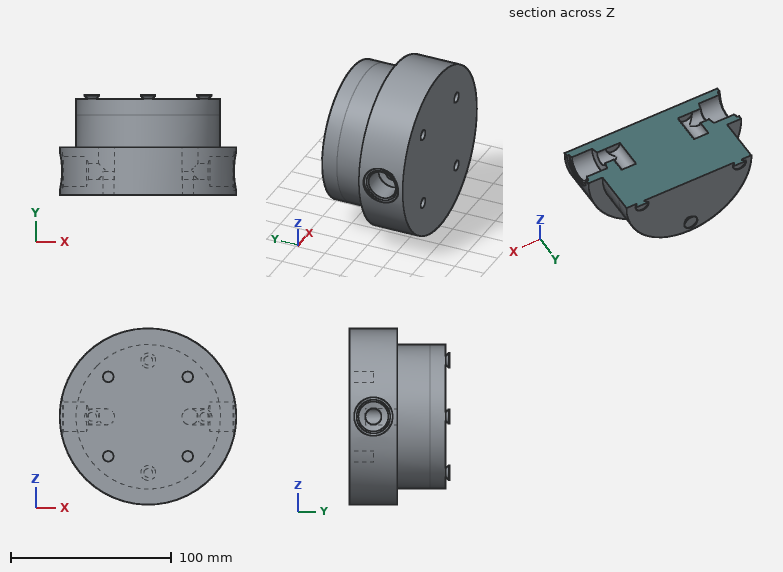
import cadquery as cq
import math

BASE_DIAMETER = 110.0
BASE_THICKNESS = 30.0

BODY_DIAMETER = 90.0
BODY_THICKNESS = 20.0
COVER_THICKNESS = 10.0
COVER_BACK = BASE_THICKNESS + BODY_THICKNESS + COVER_THICKNESS

BOLT_CIRCLE_RADIUS = 35.0
BOLT_COUNT = 4
BOLT_PITCH = 360.0 / BOLT_COUNT

MOUNT_HOLE_DIAMETER = 6.6
MOUNT_HOLE_DEPTH = 15.0
MOUNT_HOLE_FIRST_ANGLE = BOLT_PITCH / 2

SCREW_HEAD_RADIUS = 4.65
SCREW_HEAD_HEIGHT = 2.5
SCREW_RIM_THICKNESS = 0.6
SCREW_NECK_RADIUS = SCREW_HEAD_RADIUS - (SCREW_HEAD_HEIGHT - SCREW_RIM_THICKNESS)

PORT_Y = BASE_THICKNESS / 2
SPOTFACE_RADIUS = 12.0
SPOTFACE_DEPTH = 1.5
PORT_MOUTH_RADIUS = 20.955 / 2
PORT_RADIUS = 18.63 / 2
PORT_CHAMFER_HALF_ANGLE = math.radians(60.0)
PORT_DEPTH = 15.0
PORT_FLOOR_HALF_ANGLE = math.radians(75.0)

CHANNEL_RADIUS = 5.0
CHANNEL_X = 26.0
CHANNEL_END_Y = BASE_THICKNESS


def disc(diameter, front_y, thickness):
    """Solid disc on the Y axis, growing from front_y towards +Y."""
    return cq.Workplane("XZ", origin=(0, front_y, 0)).circle(diameter / 2).extrude(-thickness)


def bolt_positions(first_angle):
    """(x, z) points evenly spaced on the bolt circle."""
    angles = [math.radians(first_angle + i * BOLT_PITCH) for i in range(BOLT_COUNT)]
    return [(BOLT_CIRCLE_RADIUS * math.cos(a), BOLT_CIRCLE_RADIUS * math.sin(a)) for a in angles]


def mounting_holes():
    """Blind holes in the front face of the base."""
    points = bolt_positions(MOUNT_HOLE_FIRST_ANGLE)
    return cq.Workplane("XZ").pushPoints(points).circle(MOUNT_HOLE_DIAMETER / 2).extrude(-MOUNT_HOLE_DEPTH)


def screw_head(x, z):
    """Countersunk head, revolved about its own axis along Y."""
    profile = [
        (0, 0),
        (SCREW_NECK_RADIUS, 0),
        (SCREW_HEAD_RADIUS, SCREW_HEAD_HEIGHT - SCREW_RIM_THICKNESS),
        (SCREW_HEAD_RADIUS, SCREW_HEAD_HEIGHT),
        (0, SCREW_HEAD_HEIGHT),
    ]
    head = cq.Workplane("XY").polyline(profile).close().revolve(360, (0, 0), (0, 1))
    return head.translate((x, COVER_BACK, z))


def port():
    """Cutter for the -X port: spotface, chamfered bore, conical floor and turning channel."""
    outside_x = -BASE_DIAMETER / 2
    spotface_x = outside_x + SPOTFACE_DEPTH
    chamfer_depth = (PORT_MOUTH_RADIUS - PORT_RADIUS) / math.tan(PORT_CHAMFER_HALF_ANGLE)
    chamfer_end_x = spotface_x + chamfer_depth
    bore_end_x = spotface_x + PORT_DEPTH
    floor_height = (PORT_RADIUS - CHANNEL_RADIUS) / math.tan(PORT_FLOOR_HALF_ANGLE)
    profile = [
        (outside_x, 0),
        (outside_x, SPOTFACE_RADIUS),
        (spotface_x, SPOTFACE_RADIUS),
        (spotface_x, PORT_MOUTH_RADIUS),
        (chamfer_end_x, PORT_RADIUS),
        (bore_end_x, PORT_RADIUS),
        (bore_end_x + floor_height, CHANNEL_RADIUS),
        (-CHANNEL_X, CHANNEL_RADIUS),
        (-CHANNEL_X, 0),
    ]
    bore = cq.Workplane("XY").polyline(profile).close().revolve(360, (0, 0), (1, 0))
    bore = bore.translate((0, PORT_Y, 0))
    turn_start_y = PORT_Y - CHANNEL_RADIUS
    turn = disc(2 * CHANNEL_RADIUS, turn_start_y, CHANNEL_END_Y - turn_start_y)
    return bore.union(turn.translate((-CHANNEL_X, 0, 0)))


left_port = port()
base = disc(BASE_DIAMETER, 0, BASE_THICKNESS)
base = base.cut(mounting_holes()).cut(left_port).cut(left_port.mirror("YZ"))

body = disc(BODY_DIAMETER, BASE_THICKNESS, BODY_THICKNESS)
cover = disc(BODY_DIAMETER, BASE_THICKNESS + BODY_THICKNESS, COVER_THICKNESS)

result = base.union(body, clean=False).union(cover, clean=False)
for screw_x, screw_z in bolt_positions(0):
    result = result.union(screw_head(screw_x, screw_z), clean=False)